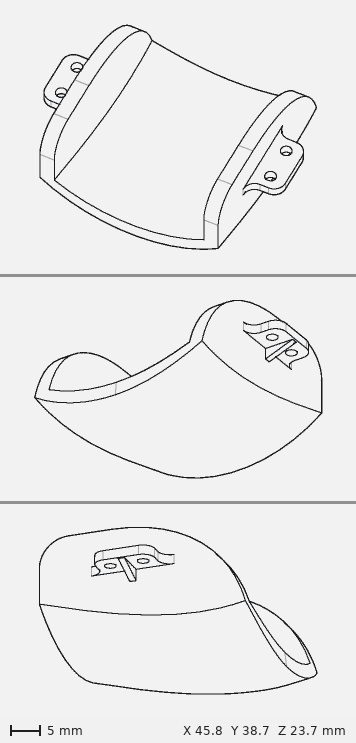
import cadquery as cq
import math

body_width = 34.0
body_length = 38.68
body_height = 23.68
wall = 2.75

front_corner_radius = 5.3
flat_top_length = 8.0
rear_tip_z = 1.05
crown_handle = 12.7
rear_handle_y = 37.5
rear_handle_z = 16.6

keel_front_z = 5.95
keel_front_handle = (12.7, 2.0)
keel_rear_handle = (26.8, -1.935)

trough_sag = 5.87

tab_reach = 5.885
tab_width = 10.8
tab_thickness = 1.7
tab_top_z = 17.25
tab_center_y = 17.15
tab_radius = 2.15
hole_diameter = 2.0
hole_spacing = 6.0

gusset_width = 1.15
gusset_height = 2.1
gusset_reach = 5.5

half_width = body_width / 2
inner_half_width = half_width - wall
trough_radius = (half_width**2 + trough_sag**2) / (2 * trough_sag)
section_height = 2 * body_height


def arc_rise(x):
    """Height of the crosswise arc above its lowest point at distance x from the middle."""
    return trough_radius - math.sqrt(trough_radius**2 - x**2)


def keel_path():
    """Lengthwise underside curve from the front face to the rear tip."""
    points = [
        (0, keel_front_z),
        keel_front_handle,
        keel_rear_handle,
        (body_length, rear_tip_z),
    ]
    return cq.Workplane("YZ").bezier(points)


def trough_sweep(half_span, bottom_z):
    """Solid with an arched bottom, carried along the keel with its section kept upright."""
    edge_z = bottom_z + arc_rise(half_span)
    top_z = bottom_z + section_height
    section = (
        cq.Workplane("XZ")
        .moveTo(-half_span, edge_z)
        .threePointArc((0, bottom_z), (half_span, edge_z))
        .lineTo(half_span, top_z)
        .lineTo(-half_span, top_z)
        .close()
    )
    return section.sweep(keel_path(), normal=cq.Vector(0, 1, 0))


def side_block():
    """Side outline carried across the full width."""
    crown_y = front_corner_radius + flat_top_length
    corner_z = body_height - front_corner_radius
    corner_mid = front_corner_radius * (1 - math.sqrt(0.5))
    base_z = -wall
    return (
        cq.Workplane("YZ")
        .moveTo(0, base_z)
        .lineTo(0, corner_z)
        .threePointArc((corner_mid, body_height - corner_mid), (front_corner_radius, body_height))
        .lineTo(crown_y, body_height)
        .bezier(
            [
                (crown_y, body_height),
                (crown_y + crown_handle, body_height),
                (rear_handle_y, rear_handle_z),
                (body_length, rear_tip_z),
            ]
        )
        .lineTo(body_length, base_z)
        .close()
        .extrude(half_width, both=True)
    )


def make_body():
    outer = side_block().intersect(trough_sweep(half_width, keel_front_z))
    return outer.cut(trough_sweep(inner_half_width, keel_front_z + wall))


def make_tab():
    """Tab, holes and gusset on the +X wall."""
    half_tab = tab_width / 2
    half_root = half_tab + tab_radius
    root_x = half_width - wall / 2
    tip_x = half_width + tab_reach
    blend_x = half_width + tab_radius
    blend_mid = tab_radius * (1 - math.sqrt(0.5))
    tab_bottom_z = tab_top_z - tab_thickness

    plate = (
        cq.Workplane("XY", origin=(0, tab_center_y, tab_bottom_z))
        .moveTo(root_x, -half_root)
        .lineTo(half_width, -half_root)
        .threePointArc((half_width + blend_mid, -half_tab - blend_mid), (blend_x, -half_tab))
        .lineTo(tip_x, -half_tab)
        .lineTo(tip_x, half_tab)
        .lineTo(blend_x, half_tab)
        .threePointArc((half_width + blend_mid, half_tab + blend_mid), (half_width, half_root))
        .lineTo(root_x, half_root)
        .close()
        .extrude(tab_thickness)
        .edges("|Z and >X")
        .fillet(tab_radius)
    )
    holes = (
        cq.Workplane("XY", origin=(half_width + tab_reach / 2, tab_center_y, tab_bottom_z))
        .rarray(1, hole_spacing, 1, 2)
        .circle(hole_diameter / 2)
        .extrude(tab_thickness)
    )
    gusset = (
        cq.Workplane("XZ", origin=(0, tab_center_y, tab_bottom_z))
        .moveTo(root_x, 0)
        .lineTo(half_width + gusset_reach, 0)
        .lineTo(half_width, -gusset_height)
        .lineTo(root_x, -gusset_height)
        .close()
        .extrude(gusset_width / 2, both=True)
    )
    return plate.cut(holes).union(gusset)


tab = make_tab()
result = make_body().union(tab).union(tab.mirror("YZ"))